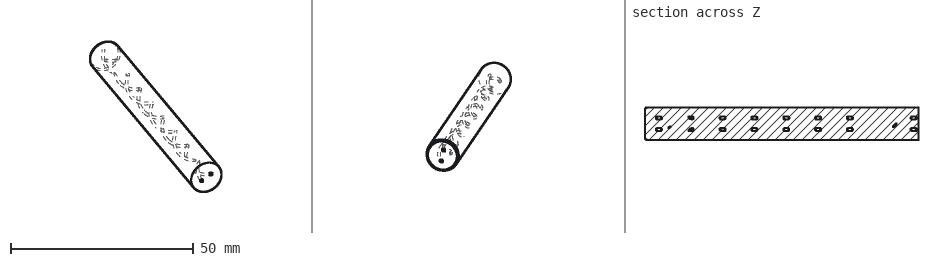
import cadquery as cq
import math

length = 75.0
diameter = 9.0

bevel = 0.45

channel_diameter = 0.75
channel_offset_y = 0.3
channel_offset_z = 1.6
channel_radius = math.hypot(channel_offset_y, channel_offset_z)
helix_angle = 30.0
pitch = 2 * math.pi * channel_radius / math.tan(math.radians(helix_angle))

overrun = 1.5


def make_bar():
    """Revolve the half profile of the bar, bevelled at its -X end."""
    start = -length / 2
    end = length / 2
    radius = diameter / 2
    profile = (
        cq.Workplane("XY")
        .moveTo(start, 0)
        .lineTo(start, radius - bevel)
        .lineTo(start + bevel, radius)
        .lineTo(end, radius)
        .lineTo(end, 0)
        .close()
    )
    return profile.revolve(360, (0, 0, 0), (1, 0, 0))


def make_channel(start_angle):
    """Helical round channel about X, crossing the -X end at start_angle from +Y toward +Z."""
    swept_length = length + 2 * overrun
    path = cq.Workplane(
        cq.Wire.makeHelix(pitch, swept_length, channel_radius, lefthand=False)
    )
    tangent = (0, channel_radius, pitch / (2 * math.pi))
    section_plane = cq.Plane(origin=(channel_radius, 0, 0), xDir=(1, 0, 0), normal=tangent)
    channel = (
        cq.Workplane(section_plane)
        .circle(channel_diameter / 2)
        .sweep(path, isFrenet=True)
    )
    lead_in = 360 * overrun / pitch
    return (
        channel
        .rotate((0, 0, 0), (0, 0, 1), start_angle - lead_in)
        .rotate((0, 0, 0), (1, 1, 1), 120)
        .translate((-length / 2 - overrun, 0, 0))
    )


result = make_bar()
first_angle = math.degrees(math.atan2(channel_offset_z, -channel_offset_y))
for half_turn in (0, 180):
    result = result.cut(make_channel(first_angle + half_turn))